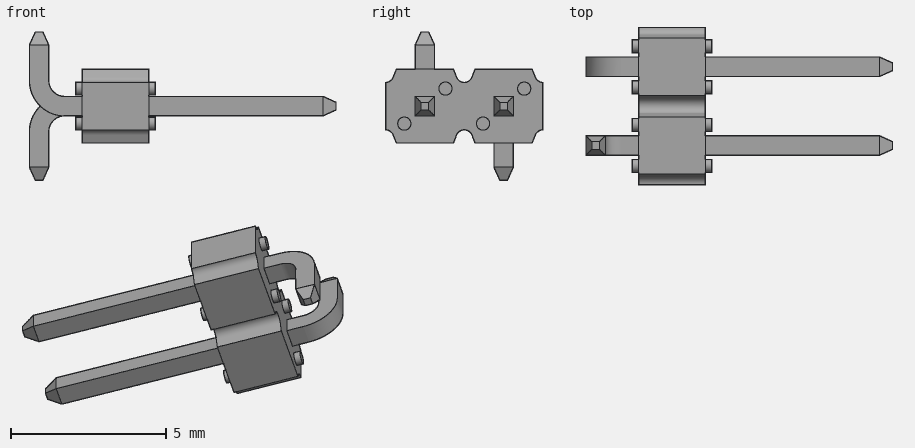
import cadquery as cq

length = 9.9
height = 4.79
body_width = 5.08
pin_count = 2
pitch = body_width / pin_count

pin_width = 0.63
tip_width = 0.25
tip_length = 0.43
bend_inner_radius = 0.5
bend_outer_radius = bend_inner_radius + pin_width

body_start = 1.7
body_length = 2.16
body_height = 2.39
notch_half_width = 0.35
notch_arc_half_width = 0.24
notch_depth = 0.43
notch_arc_height = 0.15

peg_diameter = 0.43
peg_length = 0.21
peg_offset_y = 0.66
peg_offset_z = 0.56


def make_body():
    """Rectangular bar with a rounded V notch at every pitch boundary."""
    body = cq.Workplane("XY").box(body_length, body_width, body_height)
    top = body_height / 2
    arc_start = top - notch_depth + notch_arc_height
    notch = (
        cq.Workplane("YZ")
        .moveTo(-notch_half_width, top)
        .lineTo(-notch_arc_half_width, arc_start)
        .threePointArc((0, top - notch_depth), (notch_arc_half_width, arc_start))
        .lineTo(notch_half_width, top)
        .close()
        .extrude(body_length / 2, both=True)
    )
    for index in range(pin_count + 1):
        y = (index - pin_count / 2) * pitch
        placed = notch.translate((0, y, 0))
        body = body.cut(placed).cut(placed.mirror("XY"))
    return body.translate((body_start + body_length / 2, 0, 0))


def make_tip(base_plane):
    """Square taper rising from the given plane."""
    return (
        cq.Workplane(base_plane)
        .rect(pin_width, pin_width)
        .workplane(offset=tip_length)
        .rect(tip_width, tip_width)
        .loft(ruled=True)
    )


def make_pin():
    """Pin along X at y = 0, with its bent leg pointing up."""
    half = pin_width / 2
    straight_end = length - tip_length
    leg_end = height / 2 - tip_length
    bend_center_z = bend_outer_radius - half
    diagonal = 0.5 ** 0.5

    def bend_middle(radius):
        return (bend_outer_radius - radius * diagonal, bend_center_z - radius * diagonal)

    shank = (
        cq.Workplane("XZ")
        .moveTo(straight_end, -half)
        .lineTo(bend_outer_radius, -half)
        .threePointArc(bend_middle(bend_outer_radius), (0, bend_center_z))
        .lineTo(0, leg_end)
        .lineTo(pin_width, leg_end)
        .lineTo(pin_width, bend_center_z)
        .threePointArc(bend_middle(bend_inner_radius), (bend_outer_radius, half))
        .lineTo(straight_end, half)
        .close()
        .extrude(half, both=True)
    )
    leg_tip = make_tip(cq.Plane.XY(origin=(half, 0, leg_end)))
    straight_tip = make_tip(cq.Plane.YZ(origin=(straight_end, 0, 0)))
    return shank.union(leg_tip).union(straight_tip)


def make_peg_pair():
    """Two pegs projecting from both end faces of the body."""
    return (
        cq.Workplane("YZ", origin=(body_start - peg_length, 0, 0))
        .pushPoints([(peg_offset_y, peg_offset_z), (-peg_offset_y, -peg_offset_z)])
        .circle(peg_diameter / 2)
        .extrude(body_length + 2 * peg_length)
    )


result = make_body()
upward_pin = make_pin()
downward_pin = upward_pin.mirror("XY")
peg_pair = make_peg_pair()

for index in range(pin_count):
    pin_y = (index - (pin_count - 1) / 2) * pitch
    pin = upward_pin if index % 2 == 0 else downward_pin
    result = result.union(pin.translate((0, pin_y, 0)))
    result = result.union(peg_pair.translate((0, pin_y, 0)))